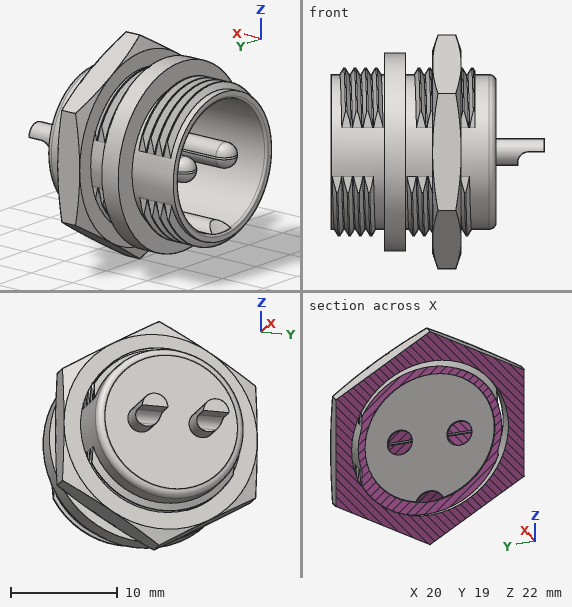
import cadquery as cq
import math


housing_radius = 7.26
housing_length = 15.5
housing_rear_round = 0.68
bore_radius = 6.52
mouth_round = 0.25
flange_radius = 9.3
flange_start = 5.0
flange_width = 2.0
flange_end = flange_start + flange_width

front_thread_turns = 4
front_thread_length = 4.0
rear_thread_turns = 6
thread_pitch = front_thread_length / front_thread_turns
thread_radius = 7.88
thread_crest_width = 0.13
thread_base_width = 0.88
thread_root_depth = 0.07
thread_flat_distance = 6.9
rear_first_crest = flange_end + thread_pitch / 2
rear_thread_end = rear_first_crest + rear_thread_turns * thread_pitch

nut_across_corners = 21.95
nut_start = 9.52
nut_width = 2.68
nut_chamfer_depth = 0.5
nut_bore_radius = thread_radius
nut_inscribed_radius = nut_across_corners / 2 * math.cos(math.radians(30))

floor_depth = 10.97
key_radius = 1.5
key_axis_drop = 6.95
key_start = 0.1
key_end_slope = 45.0

pin_radius = 1.25
pin_spacing = 6.01
pin_positions = [-pin_spacing / 2, pin_spacing / 2]
pin_tip = 1.0
pin_end = 20.0
pin_slot_height = 0.2
solder_cut_start = 17.5
solder_cut_round = 1.0


def turned(points):
    """Solid of revolution about X from (X, radius) points."""
    return cq.Workplane("XY").polyline(points).close().revolve(360, (0, 0, 0), (1, 0, 0))


def rod(radius, start, end):
    """Round bar on the X axis from start to end."""
    return turned([(start, 0), (start, radius), (end, radius), (end, 0)])


def make_thread(first_crest, turns, end):
    """Right-handed ridge whose crest starts on the -Y side, trimmed flat in Y and cut off at its end."""
    root_radius = housing_radius - thread_root_depth
    flank_slope = (thread_base_width - thread_crest_width) / (thread_radius - housing_radius)
    root_width = thread_base_width + flank_slope * thread_root_depth
    ridge_profile = (
        cq.Workplane("XZ")
        .moveTo(root_radius, -root_width / 2)
        .lineTo(thread_radius, -thread_crest_width / 2)
        .lineTo(thread_radius, thread_crest_width / 2)
        .lineTo(root_radius, root_width / 2)
        .close()
    )
    helix = cq.Wire.makeHelix(thread_pitch, turns * thread_pitch, housing_radius)
    ridge = ridge_profile.sweep(cq.Workplane(obj=helix), isFrenet=True)
    ridge = ridge.rotate((0, 0, 0), (0, 0, 1), -90).rotate((0, 0, 0), (0, 1, 0), 90)
    trim = cq.Workplane("XY").box(
        end, 2 * thread_flat_distance, 3 * thread_radius, centered=(False, True, True)
    )
    return ridge.translate((first_crest, 0, 0)).intersect(trim)


def make_housing():
    """Flanged tube, rounded at the mouth and the rear, with a thread on each side of the flange."""
    body = turned([
        (0, bore_radius),
        (0, housing_radius),
        (flange_start, housing_radius),
        (flange_start, flange_radius),
        (flange_end, flange_radius),
        (flange_end, housing_radius),
        (housing_length, housing_radius),
        (housing_length, bore_radius),
    ])
    body = body.faces(">X").edges(cq.selectors.RadiusNthSelector(1)).fillet(housing_rear_round)
    body = body.faces("<X").edges(cq.selectors.RadiusNthSelector(0)).fillet(mouth_round)
    front_thread = make_thread(thread_pitch / 2, front_thread_turns, flange_start)
    rear_thread = make_thread(rear_first_crest, rear_thread_turns, rear_thread_end)
    threads = front_thread.add(rear_thread)
    return body.union(threads)


def make_nut():
    """Hexagon with corners on Z, coned at both ends, with a plain bore that clears the crests."""
    hexagon = (
        cq.Workplane("YZ", origin=(nut_start, 0, 0))
        .polygon(6, nut_across_corners)
        .extrude(nut_width)
        .rotate((0, 0, 0), (1, 0, 0), 90)
    )
    nut_end = nut_start + nut_width
    corner_radius = nut_across_corners / 2
    envelope = turned([
        (nut_start, 0),
        (nut_start, nut_inscribed_radius),
        (nut_start + nut_chamfer_depth, corner_radius),
        (nut_end - nut_chamfer_depth, corner_radius),
        (nut_end, nut_inscribed_radius),
        (nut_end, 0),
    ])
    return hexagon.intersect(envelope).cut(rod(nut_bore_radius, nut_start, nut_end))


def make_insulator():
    """Plug in the rear of the bore, with a keying bar along the bottom of the bore."""
    plug = rod(bore_radius, floor_depth, housing_length)
    key = rod(key_radius, key_start, floor_depth).translate((0, 0, -key_axis_drop))
    bore_fit = rod(bore_radius, key_start, floor_depth)
    cone_length = bore_radius / math.tan(math.radians(key_end_slope))
    countersink = turned([
        (key_start, 0),
        (key_start, bore_radius),
        (key_start + cone_length, 0),
    ])
    key = key.intersect(bore_fit).cut(countersink)
    insulator = plug.union(key)
    for y in pin_positions:
        insulator = insulator.cut(rod(pin_radius, floor_depth, housing_length).translate((0, y, 0)))
    return insulator


def make_pin(y):
    """Round-nosed pin, slotted across its front and cut away to half its section at the rear."""
    pin = rod(pin_radius, pin_tip + pin_radius, pin_end)
    pin = pin.union(cq.Workplane("XY", origin=(pin_tip + pin_radius, 0, 0)).sphere(pin_radius))
    slot_length = floor_depth - pin_tip
    slot = cq.Workplane("XY", origin=(pin_tip + slot_length / 2, 0, 0)).box(
        slot_length, 2 * pin_radius, pin_slot_height
    )
    solder_cut = (
        cq.Workplane("XY", origin=(solder_cut_start, 0, -pin_radius))
        .box(pin_end - solder_cut_start, 2 * pin_radius, pin_radius, centered=(False, True, False))
        .edges("<X and >Z")
        .fillet(solder_cut_round)
    )
    return pin.cut(slot).cut(solder_cut).translate((0, y, 0))


housing = make_housing()
nut = make_nut()
insulator = make_insulator()
pins = [make_pin(y) for y in pin_positions]

result = cq.Compound.makeCompound(
    [housing.val(), nut.val(), insulator.val(), *[pin.val() for pin in pins]]
)